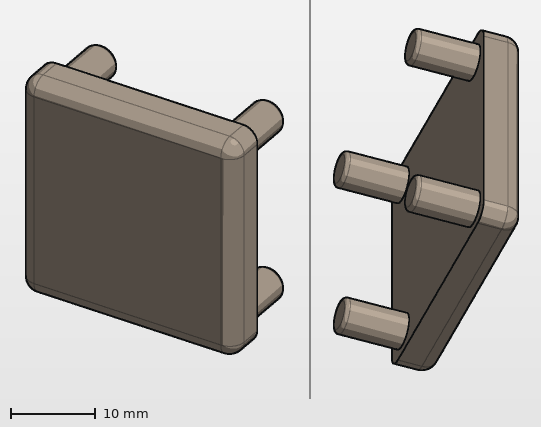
import cadquery as cq

plate_side = 30.0
plate_thickness = 5.0
edge_radius = 2.0

total_depth = 13.0
pin_length = total_depth - plate_thickness
pin_diameter = 4.5
pin_spacing = 23.22
pin_tip_radius = 0.5


def make_plate():
    """Plate with its front face at Y = 0, its four corners and its front rim rounded."""
    plate = cq.Workplane("XZ").rect(plate_side, plate_side).extrude(-plate_thickness)
    plate = plate.edges("|Y").fillet(edge_radius)
    return plate.faces("<Y").edges().fillet(edge_radius)


def make_pins():
    """Pins standing on the back face, one near each corner, with rounded tips."""
    pins = (
        cq.Workplane("XZ", origin=(0, plate_thickness, 0))
        .rect(pin_spacing, pin_spacing, forConstruction=True)
        .vertices()
        .circle(pin_diameter / 2)
        .extrude(-pin_length)
    )
    return pins.faces(">Y").edges().fillet(pin_tip_radius)


result = make_plate().union(make_pins())